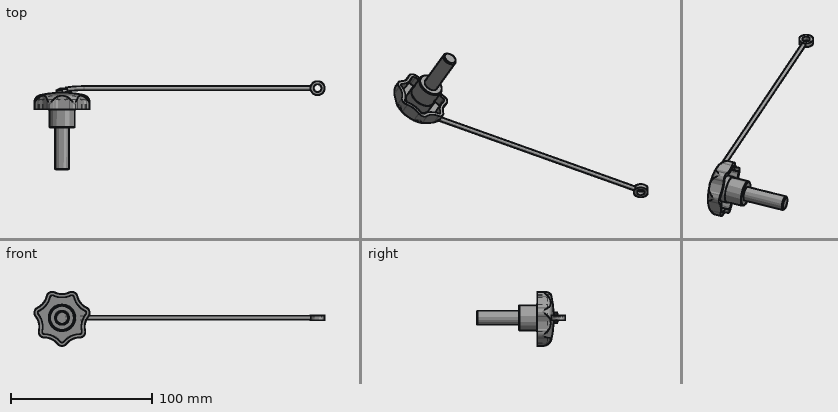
import cadquery as cq
import math


LOBES = 7
KNOB_HEIGHT = 38.5
LOBE_TIP_R = 4.1
LOBE_CENTRE_R = (KNOB_HEIGHT - 2 * LOBE_TIP_R) / (1 + math.cos(math.pi / LOBES))
VALLEY_R = 16.9
KNOB_R = LOBE_CENTRE_R + LOBE_TIP_R

SHOULDER_Y = 4.0
SHOULDER_R = 6.5
CROWN_EDGE_R = 14.4
CROWN_Y = 12.0
WALL = 2.5
POCKET_DEPTH = 7.2

COLLAR_D = 19.0
COLLAR_Y = -0.5
HUB_D = 18.0
HUB_Y = -13.0
HUB_CHAMFER = 0.6
STUD_D = 10.0
STUD_CHAMFER = 0.8
OVERALL_HEIGHT = 63.0

HEAD_D = 8.0
DISC_Y = 13.2
HEAD_RIM_Y = 14.0
HEAD_TOP_Y = 15.0
HEAD_TILT = 8.0

OVERALL_LENGTH = 205.5
CORD_D = 3.0
CORD_Y = 15.0
CORD_START_X = 2.9
CORD_DROP = 1.0
CORD_BEND_X = 15.5
EYE_D = 10.0
EYE_HOLE_D = 5.3
EYE_THICKNESS = 3.5

KNOB_HALF_WIDTH = LOBE_CENTRE_R * math.cos(math.pi / 2 / LOBES) + LOBE_TIP_R
EYE_X = OVERALL_LENGTH - KNOB_HALF_WIDTH - EYE_D / 2
STUD_Y = CORD_Y + EYE_D / 2 - OVERALL_HEIGHT


def polar(radius, angle):
    return (radius * math.cos(angle), radius * math.sin(angle))


def cylinder(diameter, y_low, y_high):
    """Cylinder about the Y axis."""
    start = cq.Workplane("XZ", origin=(0, y_low, 0))
    return start.circle(diameter / 2).extrude(y_low - y_high)


def knob_outline():
    """Closed outline of round lobe tips joined by tangent scallops, one lobe pointing to -Z."""
    half_pitch = math.pi / LOBES
    tip_along, tip_across = polar(LOBE_CENTRE_R, half_pitch)
    reach = VALLEY_R - LOBE_TIP_R
    scallop_centre = (LOBE_CENTRE_R**2 - reach**2) / (2 * (tip_along - reach))
    scallop_r = scallop_centre - VALLEY_R
    share = LOBE_TIP_R / (LOBE_TIP_R + scallop_r)
    joint_along = tip_along + share * (scallop_centre - tip_along)
    joint_across = tip_across * (1 - share)
    joint_r = math.hypot(joint_along, joint_across)
    joint_angle = half_pitch - math.atan2(joint_across, joint_along)

    first_lobe = -math.pi / 2
    outline = cq.Workplane("XZ").moveTo(*polar(joint_r, first_lobe - joint_angle))
    for i in range(LOBES):
        lobe = first_lobe + 2 * half_pitch * i
        next_lobe = lobe + 2 * half_pitch
        outline = outline.threePointArc(polar(KNOB_R, lobe), polar(joint_r, lobe + joint_angle))
        outline = outline.threePointArc(
            polar(VALLEY_R, lobe + half_pitch), polar(joint_r, next_lobe - joint_angle)
        )
    return outline.close()


def crown_envelope():
    """Solid of revolution that rounds the lobes and domes the top of the knob."""
    centre_r = KNOB_R - SHOULDER_R
    edge_angle = math.acos((CROWN_EDGE_R - centre_r) / SHOULDER_R)
    crown_edge_y = SHOULDER_Y + SHOULDER_R * math.sin(edge_angle)
    mid_r, mid_y = polar(SHOULDER_R, edge_angle / 2)
    rise = CROWN_Y - crown_edge_y
    crown_sphere_r = (CROWN_EDGE_R**2 + rise**2) / (2 * rise)
    half_edge = CROWN_EDGE_R / 2
    crown_mid_y = CROWN_Y - crown_sphere_r + math.sqrt(crown_sphere_r**2 - half_edge**2)
    return (
        cq.Workplane("XY")
        .lineTo(KNOB_R, 0)
        .lineTo(KNOB_R, SHOULDER_Y)
        .threePointArc((centre_r + mid_r, SHOULDER_Y + mid_y), (CROWN_EDGE_R, crown_edge_y))
        .threePointArc((half_edge, crown_mid_y), (0, CROWN_Y))
        .close()
        .revolve(360, (0, 0, 0), (0, 1, 0))
    )


def knob():
    body = knob_outline().extrude(-CROWN_Y).intersect(crown_envelope())
    pocket = knob_outline().offset2D(-WALL).extrude(-POCKET_DEPTH)
    return body.cut(pocket)


def hub_and_stud():
    collar = cylinder(COLLAR_D, COLLAR_Y, POCKET_DEPTH + WALL / 2)
    hub = cylinder(HUB_D, HUB_Y, 0).faces("<Y").chamfer(HUB_CHAMFER)
    stud = cylinder(STUD_D, STUD_Y, 0).faces("<Y").chamfer(STUD_CHAMFER)
    return collar.union(hub).union(stud)


def rivet():
    radius = HEAD_D / 2
    rise = HEAD_TOP_Y - HEAD_RIM_Y
    sphere_r = (radius**2 + rise**2) / (2 * rise)
    mid_y = HEAD_TOP_Y - sphere_r + math.sqrt(sphere_r**2 - (radius / 2)**2)
    base_y = CROWN_Y - WALL / 2
    disc = cylinder(HEAD_D, base_y, DISC_Y)
    head = (
        cq.Workplane("XY")
        .moveTo(0, CROWN_Y)
        .lineTo(radius, CROWN_Y)
        .lineTo(radius, HEAD_RIM_Y)
        .threePointArc((radius / 2, mid_y), (0, HEAD_TOP_Y))
        .close()
        .revolve(360, (0, 0, 0), (0, 1, 0))
        .rotate((0, HEAD_RIM_Y, 0), (0, HEAD_RIM_Y, 1), HEAD_TILT)
    )
    return disc.union(head)


def cord():
    """Round cord that runs straight back from the eye, then dips in an arc into the rivet head."""
    end_x = EYE_X - (EYE_D + EYE_HOLE_D) / 4
    path = (
        cq.Workplane("XY")
        .moveTo(end_x, CORD_Y)
        .lineTo(CORD_BEND_X, CORD_Y)
        .tangentArcPoint((CORD_START_X, CORD_Y - CORD_DROP), relative=False)
    )
    section = cq.Workplane("YZ", origin=(end_x, CORD_Y, 0))
    return section.circle(CORD_D / 2).sweep(path)


def eye():
    ring = cq.Workplane("XY", origin=(EYE_X, CORD_Y, -EYE_THICKNESS / 2))
    return ring.circle(EYE_D / 2).circle(EYE_HOLE_D / 2).extrude(EYE_THICKNESS)


result = knob().union(hub_and_stud()).union(rivet()).union(cord()).union(eye())